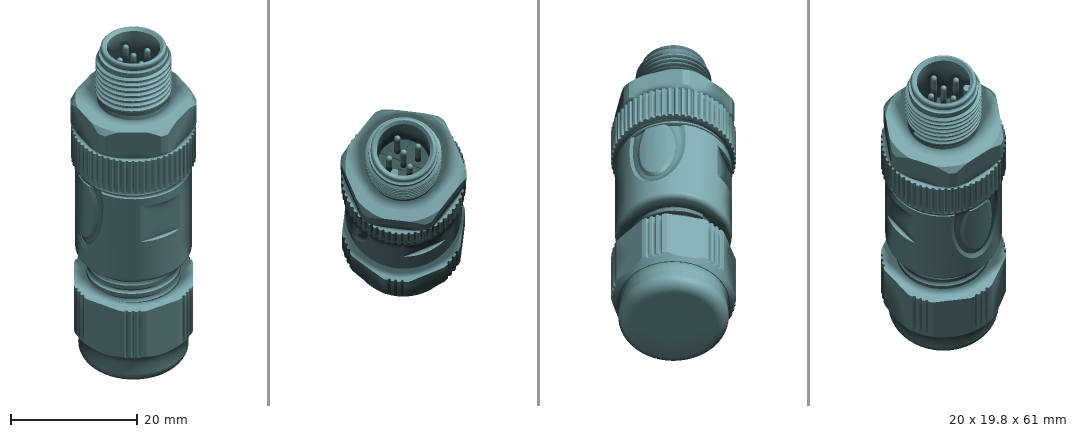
import math

import cadquery as cq

COLLAR_TOP_Z = 5.1
NUT_TOP_Z = 15.4
BODY_BOTTOM_Z = 20.5
BODY_TOP_Z = 37.4
RING_BOTTOM_Z = 39.0
HEX_BOTTOM_Z = 45.3
HEX_TOP_Z = 50.5
PLUG_SHOULDER_Z = 59.6
LIP_BOTTOM_Z = 59.9
TOTAL_HEIGHT = 61.0

RING_RADIUS = 9.9

COLLAR_RADIUS = 8.75
COLLAR_WAIST_RADIUS = 8.62
COLLAR_ROUND_RADIUS = 2.0
NUT_CORNER_RADIUS = RING_RADIUS
NUT_ACROSS_FLATS = 18.85
NUT_CHAMFER_INNER_RADIUS = 8.9
NUT_CHAMFER_HEIGHT = 1.2

FINE_THREAD_ROOT_WIDTH = 0.75
FINE_THREAD_CREST_WIDTH = 0.3
REAR_THREAD_ROOT_WIDTH = 1.0
REAR_THREAD_CREST_WIDTH = 0.75

REAR_NECK_RADIUS = 13.5 / 2
REAR_THREAD_RADIUS = 7.5
REAR_THREAD_PITCH = 1.65
REAR_THREAD_START_Z = 14.45
REAR_THREAD_TURNS = 2 + 327 / 360

BODY_RADIUS = 18.5 / 2
BODY_ROUND_RADIUS = 0.9
POCKET_FLAT_X = 8.52
POCKET_BOTTOM_Z = 28.8
POCKET_TOP_Z = 35.85

PANEL_FLOOR_RADIUS = 8.8
PANEL_GROOVE_CENTRE_Z = 34.0
PANEL_GROOVE_HALF_WIDTH = 4.15
PANEL_GROOVE_BOTTOM_Z = 25.0
PANEL_GROOVE_BEVEL_WIDTH = 0.6
PANEL_GROOVE_BEVEL_DEPTH = 0.35
PANEL_PLATE_CENTRE_Z = 32.5
PANEL_PLATE_HALF_WIDTH = 3.15
PANEL_PLATE_BOTTOM_Z = 26.1
PANEL_PLATE_BEVEL = 0.4

FRONT_NECK_RADIUS = 8.45
FRONT_THREAD_RADIUS = 9.0
FRONT_THREAD_PITCH = 1.0
FRONT_THREAD_START_Z = BODY_TOP_Z - FRONT_THREAD_PITCH
FRONT_THREAD_TURNS = 3.0

KNURL_COUNT = 60
KNURL_WIDTH = 0.65
KNURL_FLOOR_WIDTH = 0.25
KNURL_DEPTH = 0.3
HEX_ACROSS_FLATS = 17.9
HEX_CORNER_RADIUS = 10.0
HEX_CHAMFER_RADIUS = 9.2
HEX_CHAMFER_HEIGHT = 0.8

PLUG_CORE_RADIUS = 11 / 2
PLUG_BASE_RADIUS = 5.75
PLUG_BASE_HEIGHT = 0.6
PLUG_THREAD_RADIUS = 12 / 2
PLUG_THREAD_PITCH = 1.0
PLUG_THREAD_START_Z = 51.9
PLUG_THREAD_TURNS = 6.75
LIP_GROOVE_RADIUS = 9.6 / 2
LIP_RADIUS = 10.4 / 2
LIP_ROUND_RADIUS = 0.45
BORE_RADIUS = 8.45 / 2
BORE_MOUTH_RADIUS = 9.5 / 2
BORE_MOUTH_DEPTH = 0.4
BORE_FLOOR_Z = 51.0

PIN_RADIUS = 1.0 / 2
PIN_CIRCLE_RADIUS = 2.5
PIN_TOP_Z = 59.4
CROSS_WIDTH = 1.05
CROSS_DEPTH = 0.3
HUB_RADIUS = 0.85
KEY_ANGLE = -45
KEY_WIDTH = 1.2
KEY_CENTRE_RADIUS = 3.75
KEY_TOP_Z = 59.65

OVERLAP = 0.2
MARGIN = 1.0
ON_CURVE_TOLERANCE = 1e-3


def cylinder(radius, bottom_z, top_z):
    return cq.Workplane("XY").workplane(offset=bottom_z).circle(radius).extrude(top_z - bottom_z)


def revolve_about_axis(profile):
    return profile.close().revolve(360, (0, 0, 0), (0, 1, 0))


def thread(core_radius, crest_radius, pitch, turns, start_z, root_width, crest_width):
    """Right-handed thread ridge whose lower end sits on the -X side at start_z."""
    helix = cq.Wire.makeHelix(pitch, pitch * turns, core_radius)
    flank_slope = (root_width - crest_width) / (crest_radius - core_radius)
    buried_radius = core_radius - OVERLAP
    buried_width = root_width + flank_slope * OVERLAP
    ridge = (
        cq.Workplane("XZ")
        .moveTo(buried_radius, -buried_width / 2)
        .lineTo(crest_radius, -crest_width / 2)
        .lineTo(crest_radius, crest_width / 2)
        .lineTo(buried_radius, buried_width / 2)
        .close()
        .sweep(cq.Workplane(helix), isFrenet=True)
    )
    return ridge.rotate((0, 0, 0), (0, 0, 1), 180).translate((0, 0, start_z))


def knurl_grooves(angles, bottom_z, top_z):
    """Trapezoidal axial grooves cut into the shared outer radius of ring and nut."""
    floor_radius = RING_RADIUS - KNURL_DEPTH
    mouth_radius = RING_RADIUS + OVERLAP
    flare = (KNURL_WIDTH - KNURL_FLOOR_WIDTH) / KNURL_DEPTH
    mouth_width = KNURL_FLOOR_WIDTH + flare * (KNURL_DEPTH + OVERLAP)
    groove = (
        cq.Workplane("XY")
        .workplane(offset=bottom_z)
        .moveTo(floor_radius, -KNURL_FLOOR_WIDTH / 2)
        .lineTo(mouth_radius, -mouth_width / 2)
        .lineTo(mouth_radius, mouth_width / 2)
        .lineTo(floor_radius, KNURL_FLOOR_WIDTH / 2)
        .close()
        .extrude(top_z - bottom_z)
        .val()
    )
    origin = cq.Vector(0, 0, 0)
    axis = cq.Vector(0, 0, 1)
    copies = [groove.rotate(origin, axis, angle) for angle in angles]
    return cq.Workplane("XY").newObject([cq.Compound.makeCompound(copies)])


def make_collar():
    bottom_radius = COLLAR_RADIUS - COLLAR_ROUND_RADIUS
    round_offset = COLLAR_ROUND_RADIUS * math.sqrt(0.5)
    profile = (
        cq.Workplane("XZ")
        .lineTo(bottom_radius, 0)
        .threePointArc(
            (bottom_radius + round_offset, COLLAR_ROUND_RADIUS - round_offset),
            (COLLAR_RADIUS, COLLAR_ROUND_RADIUS),
        )
        .threePointArc(
            (COLLAR_WAIST_RADIUS, (COLLAR_ROUND_RADIUS + COLLAR_TOP_Z) / 2),
            (COLLAR_RADIUS, COLLAR_TOP_Z),
        )
        .lineTo(0, COLLAR_TOP_Z)
    )
    return revolve_about_axis(profile)


def make_nut():
    envelope = revolve_about_axis(
        cq.Workplane("XZ")
        .moveTo(0, COLLAR_TOP_Z)
        .lineTo(NUT_CHAMFER_INNER_RADIUS, COLLAR_TOP_Z)
        .lineTo(NUT_CORNER_RADIUS, COLLAR_TOP_Z + NUT_CHAMFER_HEIGHT)
        .lineTo(NUT_CORNER_RADIUS, NUT_TOP_Z)
        .lineTo(0, NUT_TOP_Z)
    )
    hexagon = (
        cq.Workplane("XY")
        .workplane(offset=COLLAR_TOP_Z)
        .polygon(6, NUT_ACROSS_FLATS, circumscribed=True)
        .extrude(NUT_TOP_Z - COLLAR_TOP_Z)
    )
    knurl_step = 360 / KNURL_COUNT
    corner_angles = range(30, 390, 60)
    groove_angles = [corner + i * knurl_step for corner in corner_angles for i in (-1, 0, 1)]
    return envelope.intersect(hexagon).cut(knurl_grooves(groove_angles, COLLAR_TOP_Z, NUT_TOP_Z))


def oval_prism(half_width, bottom_z, centre_z):
    """Oval column along -Y, reaching from the axis to beyond the body surface."""
    return (
        cq.Workplane("XZ")
        .center(0, centre_z)
        .ellipse(half_width, centre_z - bottom_z)
        .extrude(BODY_RADIUS + MARGIN)
    )


def oval_edges(part, half_width, bottom_z, centre_z):
    """Edges of the body surface that lie on the rim of an oval on the -Y side."""
    half_height = centre_z - bottom_z
    found = []
    for edge in part.edges().vals():
        samples = [edge.positionAt(t) for t in (0.1, 0.5, 0.9)]
        on_rim = all(
            abs((p.x / half_width) ** 2 + ((p.z - centre_z) / half_height) ** 2 - 1) < ON_CURVE_TOLERANCE
            and p.y < 0
            and abs(math.hypot(p.x, p.y) - BODY_RADIUS) < ON_CURVE_TOLERANCE
            for p in samples
        )
        if on_rim:
            found.append(edge)
    return part.newObject(found)


def make_panel_recess():
    """Everything removed from the body to form the -Y panel: groove plus its two bevelled rims."""
    blank = cylinder(BODY_RADIUS, BODY_BOTTOM_Z, BODY_TOP_Z)
    floor_core = cylinder(PANEL_FLOOR_RADIUS, BODY_BOTTOM_Z, BODY_TOP_Z)
    groove_oval = (PANEL_GROOVE_HALF_WIDTH, PANEL_GROOVE_BOTTOM_Z, PANEL_GROOVE_CENTRE_Z)
    plate_oval = (PANEL_PLATE_HALF_WIDTH, PANEL_PLATE_BOTTOM_Z, PANEL_PLATE_CENTRE_Z)
    groove = oval_prism(*groove_oval).cut(oval_prism(*plate_oval)).cut(floor_core)
    panelled = blank.cut(groove)
    panelled = oval_edges(panelled, *groove_oval).chamfer(PANEL_GROOVE_BEVEL_WIDTH, PANEL_GROOVE_BEVEL_DEPTH)
    panelled = oval_edges(panelled, *plate_oval).chamfer(PANEL_PLATE_BEVEL)
    return blank.cut(panelled)


def make_body():
    body = cylinder(BODY_RADIUS, BODY_BOTTOM_Z, BODY_TOP_Z).faces("<Z").edges().fillet(BODY_ROUND_RADIUS)
    recess = make_panel_recess()
    body = body.cut(recess).cut(recess.rotate((0, 0, 0), (0, 0, 1), 180))
    flat_slab = (
        cq.Workplane("XY")
        .workplane(offset=POCKET_BOTTOM_Z)
        .rect(2 * POCKET_FLAT_X, 4 * BODY_RADIUS)
        .extrude(POCKET_TOP_Z - POCKET_BOTTOM_Z)
    )
    pockets = cylinder(BODY_RADIUS + MARGIN, POCKET_BOTTOM_Z, POCKET_TOP_Z).cut(flat_slab)
    return body.cut(pockets)


def make_rear_neck():
    neck = cylinder(REAR_NECK_RADIUS, NUT_TOP_Z - MARGIN, BODY_BOTTOM_Z + MARGIN)
    ridge = thread(
        REAR_NECK_RADIUS,
        REAR_THREAD_RADIUS,
        REAR_THREAD_PITCH,
        REAR_THREAD_TURNS,
        REAR_THREAD_START_Z,
        REAR_THREAD_ROOT_WIDTH,
        REAR_THREAD_CREST_WIDTH,
    )
    return neck.union(ridge)


def make_front_neck():
    neck = cylinder(FRONT_NECK_RADIUS, BODY_TOP_Z - MARGIN, RING_BOTTOM_Z + MARGIN)
    ridge = thread(
        FRONT_NECK_RADIUS,
        FRONT_THREAD_RADIUS,
        FRONT_THREAD_PITCH,
        FRONT_THREAD_TURNS,
        FRONT_THREAD_START_Z,
        FINE_THREAD_ROOT_WIDTH,
        FINE_THREAD_CREST_WIDTH,
    )
    exposed = cylinder(RING_RADIUS, BODY_TOP_Z, RING_BOTTOM_Z)
    return neck.union(ridge.intersect(exposed))


def make_coupling_ring():
    angles = [i * 360 / KNURL_COUNT for i in range(KNURL_COUNT)]
    ring = cylinder(RING_RADIUS, RING_BOTTOM_Z, HEX_BOTTOM_Z)
    ring = ring.cut(knurl_grooves(angles, RING_BOTTOM_Z, HEX_BOTTOM_Z))
    hexagon = (
        cq.Workplane("XY")
        .workplane(offset=HEX_BOTTOM_Z)
        .transformed(rotate=(0, 0, 30))
        .polygon(6, HEX_ACROSS_FLATS, circumscribed=True)
        .extrude(HEX_TOP_Z - HEX_BOTTOM_Z)
    )
    envelope = revolve_about_axis(
        cq.Workplane("XZ")
        .moveTo(0, HEX_BOTTOM_Z)
        .lineTo(HEX_CHAMFER_RADIUS, HEX_BOTTOM_Z)
        .lineTo(HEX_CORNER_RADIUS, HEX_BOTTOM_Z + HEX_CHAMFER_HEIGHT)
        .lineTo(HEX_CORNER_RADIUS, HEX_TOP_Z - HEX_CHAMFER_HEIGHT)
        .lineTo(HEX_CHAMFER_RADIUS, HEX_TOP_Z)
        .lineTo(0, HEX_TOP_Z)
    )
    return ring.union(hexagon.intersect(envelope))


def make_plug_shell():
    lip_middle_z = (LIP_BOTTOM_Z + TOTAL_HEIGHT) / 2
    lip = cylinder(LIP_RADIUS, LIP_BOTTOM_Z, TOTAL_HEIGHT).edges().fillet(LIP_ROUND_RADIUS)
    profile = (
        cq.Workplane("XZ")
        .moveTo(0, HEX_TOP_Z)
        .lineTo(PLUG_BASE_RADIUS, HEX_TOP_Z)
        .lineTo(PLUG_CORE_RADIUS, HEX_TOP_Z + PLUG_BASE_HEIGHT)
        .lineTo(PLUG_CORE_RADIUS, PLUG_SHOULDER_Z)
        .lineTo(LIP_GROOVE_RADIUS, PLUG_SHOULDER_Z)
        .lineTo(LIP_GROOVE_RADIUS, lip_middle_z)
        .lineTo(0, lip_middle_z)
    )
    ridge = thread(
        PLUG_CORE_RADIUS,
        PLUG_THREAD_RADIUS,
        PLUG_THREAD_PITCH,
        PLUG_THREAD_TURNS,
        PLUG_THREAD_START_Z,
        FINE_THREAD_ROOT_WIDTH,
        FINE_THREAD_CREST_WIDTH,
    )
    return revolve_about_axis(profile).union(lip).union(ridge)


def make_bore():
    return revolve_about_axis(
        cq.Workplane("XZ")
        .moveTo(0, BORE_FLOOR_Z)
        .lineTo(BORE_RADIUS, BORE_FLOOR_Z)
        .lineTo(BORE_RADIUS, TOTAL_HEIGHT - BORE_MOUTH_DEPTH)
        .lineTo(BORE_MOUTH_RADIUS, TOTAL_HEIGHT)
        .lineTo(0, TOTAL_HEIGHT)
    )


def make_floor_cross():
    """Two crossed shallow slots in the bore floor, interrupted by a round hub on the axis."""
    bottom_z = BORE_FLOOR_Z - CROSS_DEPTH
    slot = (
        cq.Workplane("XY")
        .workplane(offset=bottom_z)
        .rect(2 * BORE_RADIUS, CROSS_WIDTH)
        .extrude(CROSS_DEPTH)
    )
    cross = slot.rotate((0, 0, 0), (0, 0, 1), 45).union(slot.rotate((0, 0, 0), (0, 0, 1), -45))
    return cross.cut(cylinder(HUB_RADIUS, bottom_z, BORE_FLOOR_Z)).intersect(
        cylinder(BORE_RADIUS, bottom_z, BORE_FLOOR_Z)
    )


def make_pins():
    dome_centre_z = PIN_TOP_Z - PIN_RADIUS
    dome = cq.Workplane("XY").sphere(PIN_RADIUS).translate((0, 0, dome_centre_z))
    pin = cylinder(PIN_RADIUS, BORE_FLOOR_Z - OVERLAP, dome_centre_z).union(dome)
    pins = pin
    for angle in range(0, 360, 90):
        pins = pins.union(pin.translate((PIN_CIRCLE_RADIUS, 0, 0)).rotate((0, 0, 0), (0, 0, 1), angle))
    return pins


def make_key():
    """Round-nosed coding rib on the bore wall."""
    bottom_z = BORE_FLOOR_Z - CROSS_DEPTH
    rib_length = BORE_RADIUS + OVERLAP - KEY_CENTRE_RADIUS
    height = KEY_TOP_Z - bottom_z
    nose = cylinder(KEY_WIDTH / 2, bottom_z, KEY_TOP_Z).translate((KEY_CENTRE_RADIUS, 0, 0))
    rib = (
        cq.Workplane("XY")
        .workplane(offset=bottom_z)
        .center(KEY_CENTRE_RADIUS + rib_length / 2, 0)
        .rect(rib_length, KEY_WIDTH)
        .extrude(height)
    )
    key = nose.union(rib).intersect(cylinder(BORE_RADIUS + OVERLAP, bottom_z, KEY_TOP_Z))
    return key.rotate((0, 0, 0), (0, 0, 1), KEY_ANGLE)


def make_plug():
    shell = make_plug_shell().cut(make_bore()).cut(make_floor_cross())
    return shell.union(make_pins()).union(make_key())


def make_connector():
    connector = make_collar()
    for section in (
        make_nut(),
        make_rear_neck(),
        make_body(),
        make_front_neck(),
        make_coupling_ring(),
        make_plug(),
    ):
        connector = connector.union(section, clean=False)
    return connector.solids()


result = make_connector()